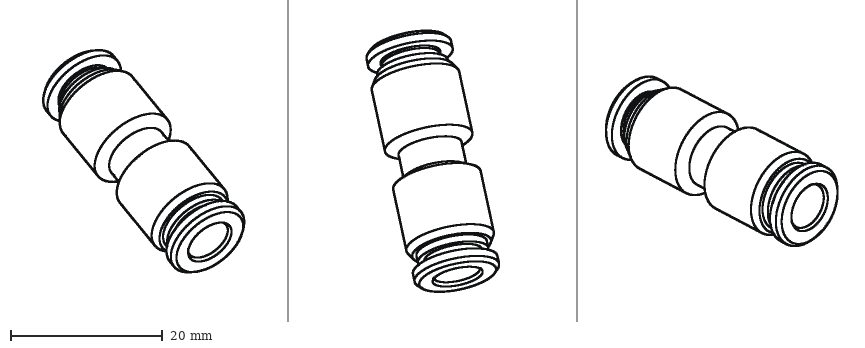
import cadquery as cq

length = 33.0
half_length = length / 2

flange_chamfer_end = 0.55
flange_end = 1.65
neck_cone_end = 1.95
neck_end = 3.05
collar_end = 4.03
body_chamfer_end = 5.0
body_end = 13.75
waist_start = 14.72

flange_radius = 5.7
flange_face_radius = 5.18
neck_root_radius = 4.03
neck_radius = 3.9
collar_radius = 4.75
body_radius = 5.9
body_face_radius = 5.3
waist_radius = 4.25

mouth_radius = 3.35
socket_radius = 3.1
passage_radius = 2.5
mouth_depth = 0.5
stop_length = 0.35
stop_end = waist_start
stop_start = stop_end - stop_length


def revolve_symmetric(half_outline):
    """Revolve (distance from end, radius) points about X, mirrored about the middle plane."""
    left = [(distance - half_length, radius) for distance, radius in half_outline]
    right = [(-x, radius) for x, radius in reversed(left)]
    axis_start = (-half_length, 0)
    axis_end = (half_length, 0)
    profile = cq.Workplane("XY").polyline([axis_start] + left + right + [axis_end]).close()
    return profile.revolve(360, (0, 0, 0), (1, 0, 0))


def outer_body():
    """Flange, neck, collar, body and waist."""
    return revolve_symmetric([
        (0, flange_face_radius),
        (flange_chamfer_end, flange_radius),
        (flange_end, flange_radius),
        (flange_end, neck_root_radius),
        (neck_cone_end, neck_radius),
        (neck_end, neck_radius),
        (neck_end, collar_radius),
        (collar_end, collar_radius),
        (collar_end, body_face_radius),
        (body_chamfer_end, body_radius),
        (body_end, body_radius),
        (waist_start, waist_radius),
    ])


def tube_bore():
    """Stepped tube bore through the whole fitting."""
    return revolve_symmetric([
        (0, mouth_radius),
        (mouth_depth, socket_radius),
        (stop_start, socket_radius),
        (stop_end, passage_radius),
    ])


result = outer_body().cut(tube_bore())